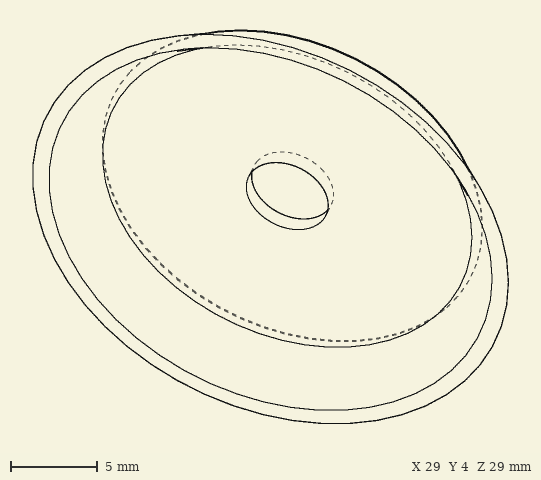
import cadquery as cq

rim_diameter = 29.0
rim_inner_diameter = 27.0
floor_diameter = 22.5
back_diameter = 23.15
hole_diameter = 5.0
height = 4.0
land_height = 0.1
floor_thickness = 1.0

floor_y = height - floor_thickness
half_section = (
    cq.Workplane("XY")
    .moveTo(hole_diameter / 2, floor_y)
    .lineTo(floor_diameter / 2, floor_y)
    .lineTo(rim_inner_diameter / 2, 0)
    .lineTo(rim_diameter / 2, 0)
    .lineTo(back_diameter / 2, height - land_height)
    .lineTo(back_diameter / 2, height)
    .lineTo(hole_diameter / 2, height)
    .close()
)

result = half_section.revolve(360, (0, 0, 0), (0, 1, 0))